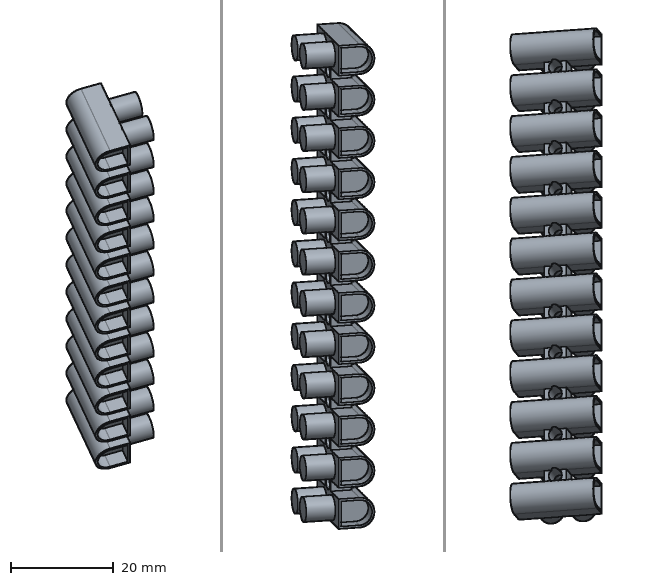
import cadquery as cq

strip_height = 97.3
housing_count = 12
housing_length = 16.6
housing_height = 6.0
flat_depth = 4.2
nose_radius = housing_height / 2
pitch = (strip_height - housing_height) / (housing_count - 1)

wall = 0.5
pocket_depth = 3.0

post_diameter = 5.0
post_spacing = 6.4
post_length = 5.8

bridge_width = 4.5
bridge_height = pitch - housing_height
hole_diameter = 2.6

back_y = flat_depth
first_z = (housing_height - strip_height) / 2


def rounded_bar(radius, back, start_x, length):
    """D-shaped bar along X: straight sides to the back, half-round nose toward -Y."""
    return (
        cq.Workplane("YZ", origin=(start_x, 0, 0))
        .moveTo(back, -radius)
        .lineTo(0, -radius)
        .threePointArc((-radius, 0), (0, radius))
        .lineTo(back, radius)
        .close()
        .extrude(length)
    )


def make_housing():
    """One housing centred on Z = 0, with a wire pocket in each end and two posts behind."""
    half_length = housing_length / 2
    housing = rounded_bar(nose_radius, back_y, -half_length, housing_length)
    for pocket_start in (-half_length, half_length - pocket_depth):
        pocket = rounded_bar(nose_radius - wall, back_y - wall, pocket_start, pocket_depth)
        housing = housing.cut(pocket)
    posts = (
        cq.Workplane("XZ", origin=(0, back_y, 0))
        .pushPoints([(-post_spacing / 2, 0), (post_spacing / 2, 0)])
        .circle(post_diameter / 2)
        .extrude(-post_length)
    )
    return housing.union(posts)


def make_bridge():
    """Block that fills the gap between two housings, centred on Z = 0."""
    return cq.Workplane("XY").box(
        bridge_width, flat_depth, bridge_height, centered=(True, False, True)
    )


def make_mounting_hole():
    """Cutter along Y through the full housing depth; it also nicks both neighbours."""
    return (
        cq.Workplane("XZ", origin=(0, -nose_radius, 0))
        .circle(hole_diameter / 2)
        .extrude(-(nose_radius + flat_depth))
    )


housing = make_housing()
bridge = make_bridge()
mounting_hole = make_mounting_hole()

result = housing.translate((0, 0, first_z))
for index in range(1, housing_count):
    housing_z = first_z + index * pitch
    result = result.union(housing.translate((0, 0, housing_z)))
    result = result.union(bridge.translate((0, 0, housing_z - pitch / 2)))

for index in range(housing_count - 1):
    hole_z = first_z + (index + 0.5) * pitch
    result = result.cut(mounting_hole.translate((0, 0, hole_z)))